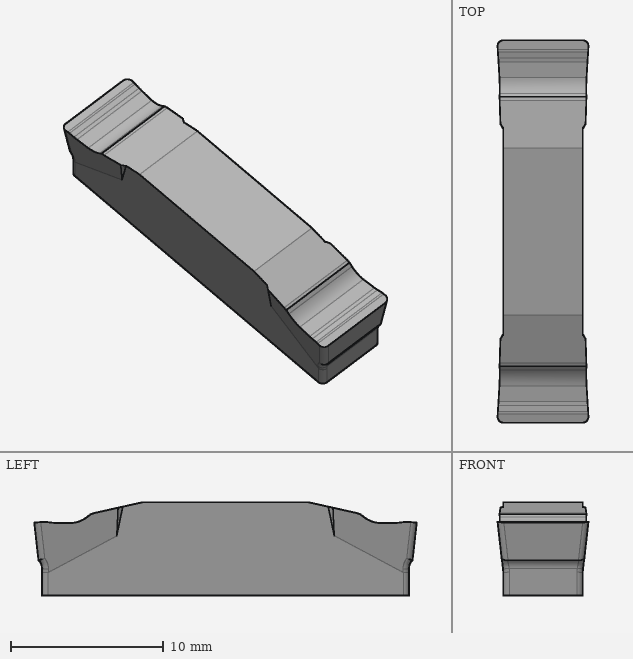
import cadquery as cq

LENGTH = 25.15
HEIGHT = 6.15
HEAD_WIDTH = 6.0
BODY_WIDTH = 5.23
HALF_LENGTH = LENGTH / 2
BODY_HALF = BODY_WIDTH / 2

TIP_Z = 4.8
LAND_Z = 4.85
LAND_START = 0.6
LAND_END = 0.75
STEP_INSET = 1.15
STEP_Z = 4.8
FLOOR_START = 1.43
FLOOR_END = 2.45
FLOOR_Z = 4.78
CURL_MID_INSET = 3.02
CURL_MID_Z = 4.9
CURL_END = 3.5
CURL_END_Z = 5.18
BREAK_INSET = 3.72
BREAK_Z = 5.35
RAMP_START = 3.95
RAMP_START_Z = 5.43
RAMP_END = 7.1

BASE_INSET = 0.5
BASE_TOP_Z = 1.8
RELIEF_INSET = 0.28
RELIEF_Z = 2.35
CORNER_RADIUS = 0.4

PAD_LOW_INSET = 0.9
PAD_LOW_Z = 1.53
PAD_HIGH_INSET = 5.43
PAD_HIGH_Z = 3.95
PAD_RIDGE_INSET = 5.54
PAD_END_INSET = 5.9
WIDEST_INSET = 0.35
PAD_SLOPE = (PAD_HIGH_Z - PAD_LOW_Z) / (PAD_HIGH_INSET - PAD_LOW_INSET)


def pad_root_z(inset):
    """Height at which the pad face leaves the body side."""
    return PAD_LOW_Z + PAD_SLOPE * (inset - PAD_LOW_INSET)


FLARE = (HEAD_WIDTH / 2 - BODY_HALF) / (TIP_Z - pad_root_z(WIDEST_INSET))


def pad_half_width(inset, z):
    """Distance from the centre plane to the pad face."""
    return BODY_HALF + FLARE * (z - pad_root_z(inset))


def end_point(inset, z):
    return (HALF_LENGTH - inset, z)


def half_prism(width):
    """The +Y half of the side profile, extruded across the given width."""
    return (
        cq.Workplane("YZ")
        .moveTo(0, 0)
        .lineTo(*end_point(BASE_INSET, 0))
        .lineTo(*end_point(BASE_INSET, BASE_TOP_Z))
        .tangentArcPoint(end_point(RELIEF_INSET, RELIEF_Z), relative=False)
        .lineTo(*end_point(0, TIP_Z))
        .lineTo(*end_point(LAND_START, LAND_Z))
        .lineTo(*end_point(LAND_END, LAND_Z))
        .lineTo(*end_point(STEP_INSET, STEP_Z))
        .lineTo(*end_point(FLOOR_START, FLOOR_Z))
        .lineTo(*end_point(FLOOR_END, FLOOR_Z))
        .threePointArc(end_point(CURL_MID_INSET, CURL_MID_Z), end_point(CURL_END, CURL_END_Z))
        .lineTo(*end_point(BREAK_INSET, BREAK_Z))
        .lineTo(*end_point(RAMP_START, RAMP_START_Z))
        .lineTo(*end_point(RAMP_END, HEIGHT))
        .lineTo(0, HEIGHT)
        .close()
        .extrude(width / 2, both=True)
    )


def pad_wedge():
    """Flat-sided wedge on the +X, +Y side that bounds one flared pad."""
    def corner(x, inset, z):
        return cq.Vector(x, HALF_LENGTH - inset, z)

    root_tip = corner(BODY_HALF, 0, pad_root_z(0))
    root_inner = corner(BODY_HALF, PAD_HIGH_INSET, PAD_HIGH_Z)
    top_inner = corner(BODY_HALF, PAD_END_INSET, HEIGHT)
    top_ridge = corner(pad_half_width(PAD_RIDGE_INSET, HEIGHT), PAD_RIDGE_INSET, HEIGHT)
    top_tip = corner(pad_half_width(0, HEIGHT), 0, HEIGHT)
    body_tip = corner(BODY_HALF, 0, HEIGHT)
    outlines = [
        (root_tip, root_inner, top_ridge, top_tip),
        (root_inner, top_inner, top_ridge),
        (top_inner, body_tip, top_tip, top_ridge),
        (root_tip, body_tip, top_inner, root_inner),
        (root_tip, top_tip, body_tip),
    ]
    faces = [cq.Face.makeFromWires(cq.Wire.makePolygon(points, close=True)) for points in outlines]
    return cq.Workplane(cq.Solid.makeSolid(cq.Shell.makeShell(faces)))


def flared_half():
    """The +Y half of the insert with both pads and rounded end corners."""
    pad = half_prism(2 * HEAD_WIDTH).intersect(pad_wedge())
    half = half_prism(BODY_WIDTH).union(pad).union(pad.mirror("YZ"))
    for side in (-1, 1):
        near_corner = cq.selectors.BoxSelector(
            (side * (BODY_HALF - CORNER_RADIUS), HALF_LENGTH - LAND_START, 0),
            (side * HEAD_WIDTH, HALF_LENGTH, TIP_Z),
        )
        half = half.edges(near_corner).fillet(CORNER_RADIUS)
    return half


half = flared_half()
result = half.union(half.mirror("XZ")).clean()